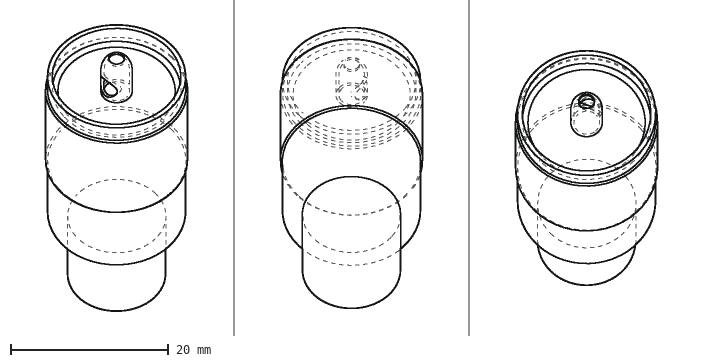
import cadquery as cq

total_height = 41.5
boss_height = 11.5
collar_bottom = 22.0
collar_top = 35.7
rim_height = 38.05
cup_floor = 35.28

boss_radius = 6.22
body_radius = 8.75
collar_radius = 9.0
cup_radius = 8.15
cup_floor_radius = 7.43

boss_fillet = 0.5
body_fillet = 0.8
collar_chamfer = collar_radius - body_radius
cup_taper_height = 0.35

pin_radius = 2.0
pin_wall = 0.37
nose_height = 2.2
nose_bottom = total_height - nose_height
mouth_radius = 1.0
port_radius = 1.5
port_height = 37.45


def make_body():
    """Stepped body of revolution with a raised collar."""
    boss = cq.Workplane("XY").circle(boss_radius).extrude(boss_height)
    boss = boss.faces("<Z").edges().fillet(boss_fillet)
    barrel = (
        cq.Workplane("XY", origin=(0, 0, boss_height))
        .circle(body_radius)
        .extrude(rim_height - boss_height)
        .faces("<Z").edges().fillet(body_fillet)
    )
    collar = (
        cq.Workplane("XY", origin=(0, 0, collar_bottom))
        .circle(collar_radius)
        .extrude(collar_top - collar_bottom)
        .edges().chamfer(collar_chamfer)
    )
    return boss.union(barrel).union(collar)


def make_cup():
    """Open recess in the top, narrowing to its floor through a short cone."""
    return (
        cq.Workplane("XZ")
        .moveTo(0, cup_floor)
        .lineTo(cup_floor_radius, cup_floor)
        .lineTo(cup_radius, cup_floor + cup_taper_height)
        .lineTo(cup_radius, rim_height)
        .lineTo(0, rim_height)
        .close()
        .revolve(360, (0, 0, 0), (0, 1, 0))
    )


def make_round_nosed_post(radius, top):
    """Post standing on the cup floor; its nose arc is tangent to its side."""
    return (
        cq.Workplane("XZ")
        .moveTo(0, cup_floor)
        .lineTo(radius, cup_floor)
        .lineTo(radius, nose_bottom)
        .tangentArcPoint((mouth_radius, top), relative=False)
        .lineTo(0, top)
        .close()
        .revolve(360, (0, 0, 0), (0, 1, 0))
    )


def make_pin():
    """Hollow pin, opened by a round mouth on top and a port on one side."""
    shell = make_round_nosed_post(pin_radius, total_height)
    cavity = make_round_nosed_post(pin_radius - pin_wall, total_height - pin_wall)
    mouth = (
        cq.Workplane("XY", origin=(0, 0, nose_bottom))
        .circle(mouth_radius)
        .extrude(nose_height)
    )
    port = cq.Workplane("XZ", origin=(0, 0, port_height)).circle(port_radius).extrude(pin_radius)
    return shell.cut(cavity).cut(mouth).cut(port)


result = make_body().cut(make_cup()).union(make_pin())